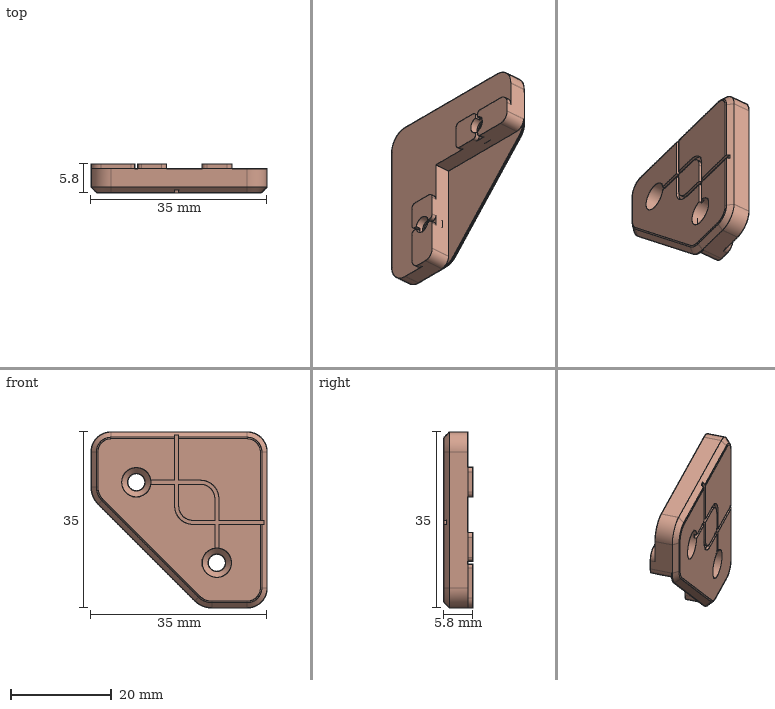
import cadquery as cq
import math

side = 35.0
total_depth = 5.8
key_height = 0.98
plate_depth = total_depth - key_height

corner_radius = 4.0
flange_depth = 1.4
rim_chamfer = 1.2
rim_edge_chamfer = 0.18

arm_width = 13.0
arm_end_radius = 2.0

hole_along = 26.0
hole_across = 10.0
hole_diameter = 3.4
head_diameter = 5.8
head_depth = 2.95
countersink_depth = (head_diameter - hole_diameter) / 2

key_width = 6.0
key_start = 20.0
key_gap = 0.52
key_radius = 1.0
key_gap_radius = 0.8

groove_width = 0.8
groove_depth = 0.6
free_groove_offset = 18.0
free_groove_end = 0.6
groove_bend_radius = 3.25


def sketch_plane(depth):
    """Plane at a depth behind the front face, with local axes X and Z."""
    return cq.Workplane("XZ", origin=(0, depth, 0))


def arm_block(near, far, across_start, across_end, front, back):
    """Rectangular block of the -X arm: near and far lie along the arm, the others across and in depth."""
    return (
        sketch_plane(front)
        .moveTo(-(near + far) / 2, -(across_start + across_end) / 2)
        .rect(far - near, across_end - across_start)
        .extrude(front - back)
    )


def both_arms(shape):
    """Join a shape of the -X arm with its mirror image in the -Z arm."""
    return shape.union(shape.mirror(mirrorPlane=(1, 0, -1)))


def make_flange():
    bevel_radius = arm_end_radius / math.tan(math.pi / 8)
    flange = (
        sketch_plane(0)
        .polyline([(0, 0), (0, -side), (-arm_width, -side), (-side, -arm_width), (-side, 0)])
        .close()
        .extrude(-flange_depth)
    )
    bevel_edges = [(-arm_width, flange_depth / 2, -side), (-side, flange_depth / 2, -arm_width)]
    for edge_middle in bevel_edges:
        flange = flange.edges(cq.NearestToPointSelector(edge_middle)).fillet(bevel_radius)
    square_edges = [(0, 0), (-side, 0), (0, -side)]
    for x, z in square_edges:
        flange = flange.edges(cq.NearestToPointSelector((x, flange_depth / 2, z))).fillet(corner_radius)
    flange = flange.faces("<Y").chamfer(rim_chamfer)
    return flange.faces("<Y").chamfer(rim_edge_chamfer)


def make_body():
    arm = arm_block(0, side, 0, arm_width, flange_depth, plate_depth)
    arm = arm.edges("|Y and <X and <Z").fillet(arm_end_radius)
    arm = arm.edges("|Y and <X and >Z").fillet(corner_radius)
    arm = arm.edges("|Y and >X and >Z").fillet(corner_radius)
    return both_arms(arm)


def make_keys():
    gap_near = hole_along - key_gap / 2
    gap_far = hole_along + key_gap / 2
    inner_edge = arm_width
    outer_edge = arm_width - key_width
    back = plate_depth + key_height
    near_key = arm_block(key_start, gap_near, outer_edge, inner_edge, plate_depth, back)
    near_key = near_key.edges("|Y and >X").fillet(key_radius)
    near_key = near_key.edges("|Y and <X").fillet(key_gap_radius)
    far_key = arm_block(gap_far, side, outer_edge, inner_edge, plate_depth, back)
    far_key = far_key.edges("|Y and >X").fillet(key_gap_radius)
    far_key = far_key.edges("|Y and <X").fillet(arm_end_radius)
    return both_arms(near_key.union(far_key))


def make_screw_holes():
    half_section = [
        (0, 0),
        (head_diameter / 2, 0),
        (head_diameter / 2, head_depth),
        (hole_diameter / 2, head_depth + countersink_depth),
        (hole_diameter / 2, total_depth),
        (0, total_depth),
    ]
    hole = cq.Workplane("XY").polyline(half_section).close().revolve(360, (0, 0), (0, 1))
    return both_arms(hole.translate((-hole_along, 0, -hole_across)))


def make_groove(corner, leg_end):
    """L-shaped groove with a rounded bend.

    Both distances are measured from the outer edges: corner to the centre lines of the two legs,
    and leg_end to where the legs stop.
    """
    half_width = groove_width / 2
    low = half_width - corner
    high = -half_width - corner
    groove = (
        sketch_plane(0)
        .polyline(
            [(-leg_end, low), (low, low), (low, -leg_end), (high, -leg_end), (high, high), (-leg_end, high)]
        )
        .close()
        .extrude(-groove_depth)
    )
    if leg_end > corner:
        outer, inner = low, high
    else:
        outer, inner = high, low
    mid_depth = groove_depth / 2
    groove = groove.edges(cq.NearestToPointSelector((outer, mid_depth, outer))).fillet(
        groove_bend_radius + half_width
    )
    return groove.edges(cq.NearestToPointSelector((inner, mid_depth, inner))).fillet(
        groove_bend_radius - half_width
    )


hole_groove = make_groove(hole_across, hole_along)
free_groove = make_groove(free_groove_offset, free_groove_end)

result = (
    make_flange()
    .union(make_body())
    .union(make_keys())
    .cut(make_screw_holes())
    .cut(hole_groove)
    .cut(free_groove)
)